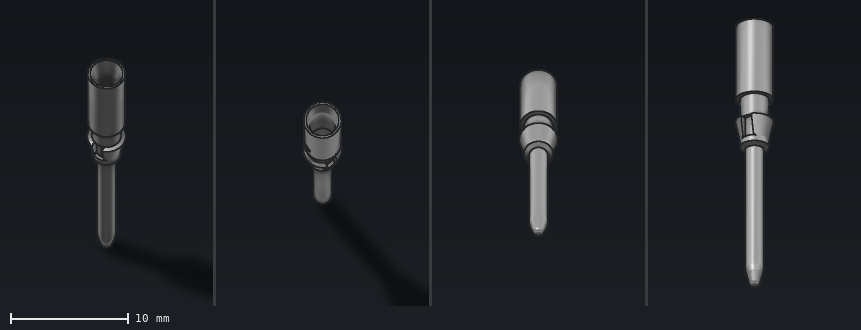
import math

import cadquery as cq


TOTAL_LENGTH = 25.0
BARREL_RADIUS = 1.6
BARREL_BOTTOM = 18.0

ENTRY_RADIUS = 1.4
BORE_RADIUS = 1.1
ENTRY_DEPTH = 1.5
BORE_DEPTH = 6.5
DRILL_POINT_ANGLE = 140.0

INSPECTION_RADIUS = 0.4
INSPECTION_DEPTH = 5.6

NECK_RADIUS = 1.25
FLARE_RADIUS = 1.65
FLARE_TOP = 16.0
FLARE_TOP_DROP = 0.12
FLARE_BOTTOM = 14.0
COLLAR_BOTTOM = 13.45
COLLAR_TAPER_HEIGHT = 0.25

SLOT_WIDTH = 1.0
SLOT_FOOT_SPLAY = 0.13
SLOT_FOOT_HEIGHT = 0.13
SLOT_CORE_RADIUS = 0.9

PIN_RADIUS = 0.8
TIP_RADIUS = 0.5
TIP_TAPER_ANGLE = 15.0
SHOULDER_RADIUS = 2.0


def arc_point(center_r, center_z, radius, degrees):
    """Point (r, z) on an arc, with the angle measured from the outward radial direction."""
    angle = math.radians(degrees)
    return (center_r + radius * math.cos(angle), center_z + radius * math.sin(angle))


def make_body():
    """Revolve the solid outline; the tip arc, taper and shoulder arc run tangent to each other."""
    tip_mid = arc_point(0, TIP_RADIUS, TIP_RADIUS, (-90 - TIP_TAPER_ANGLE) / 2)
    taper_start = arc_point(0, TIP_RADIUS, TIP_RADIUS, -TIP_TAPER_ANGLE)

    shoulder_center_r = PIN_RADIUS - SHOULDER_RADIUS
    taper_end_r = arc_point(shoulder_center_r, 0, SHOULDER_RADIUS, -TIP_TAPER_ANGLE)[0]
    taper_height = (taper_end_r - taper_start[0]) / math.tan(math.radians(TIP_TAPER_ANGLE))
    taper_end_z = taper_start[1] + taper_height
    shoulder_z = taper_end_z + SHOULDER_RADIUS * math.sin(math.radians(TIP_TAPER_ANGLE))
    shoulder_mid = arc_point(shoulder_center_r, shoulder_z, SHOULDER_RADIUS, -TIP_TAPER_ANGLE / 2)

    return (
        cq.Workplane("XZ")
        .moveTo(0, 0)
        .threePointArc(tip_mid, taper_start)
        .lineTo(taper_end_r, taper_end_z)
        .threePointArc(shoulder_mid, (PIN_RADIUS, shoulder_z))
        .lineTo(PIN_RADIUS, COLLAR_BOTTOM - COLLAR_TAPER_HEIGHT)
        .lineTo(NECK_RADIUS, COLLAR_BOTTOM)
        .lineTo(NECK_RADIUS, FLARE_BOTTOM)
        .lineTo(FLARE_RADIUS, FLARE_TOP - FLARE_TOP_DROP)
        .lineTo(NECK_RADIUS, FLARE_TOP)
        .lineTo(NECK_RADIUS, BARREL_BOTTOM)
        .lineTo(BARREL_RADIUS, BARREL_BOTTOM)
        .lineTo(BARREL_RADIUS, TOTAL_LENGTH)
        .lineTo(0, TOTAL_LENGTH)
        .close()
        .revolve(360, (0, 0, 0), (0, 1, 0))
    )


def make_wire_bore():
    """Tapered lead-in, cylindrical bore and conical floor as one revolved cutter."""
    floor_z = TOTAL_LENGTH - BORE_DEPTH
    apex_z = floor_z - BORE_RADIUS / math.tan(math.radians(DRILL_POINT_ANGLE / 2))
    return (
        cq.Workplane("XZ")
        .moveTo(0, apex_z)
        .lineTo(BORE_RADIUS, floor_z)
        .lineTo(BORE_RADIUS, TOTAL_LENGTH - ENTRY_DEPTH)
        .lineTo(ENTRY_RADIUS, TOTAL_LENGTH)
        .lineTo(0, TOTAL_LENGTH)
        .close()
        .revolve(360, (0, 0, 0), (0, 1, 0))
    )


def make_inspection_hole():
    """Radial cutter from the axis out through the -X wall."""
    return (
        cq.Workplane("YZ")
        .center(0, TOTAL_LENGTH - INSPECTION_DEPTH)
        .circle(INSPECTION_RADIUS)
        .extrude(-2 * BARREL_RADIUS)
    )


def make_ring_slot():
    """Slot on the -Y side that widens at its foot and leaves a round core standing."""
    half_width = SLOT_WIDTH / 2
    foot_half_width = half_width + SLOT_FOOT_SPLAY
    foot_top = FLARE_BOTTOM + SLOT_FOOT_HEIGHT
    slot = (
        cq.Workplane("XZ")
        .moveTo(-foot_half_width, FLARE_BOTTOM)
        .lineTo(foot_half_width, FLARE_BOTTOM)
        .lineTo(half_width, foot_top)
        .lineTo(half_width, FLARE_TOP)
        .lineTo(-half_width, FLARE_TOP)
        .lineTo(-half_width, foot_top)
        .close()
        .extrude(2 * FLARE_RADIUS)
    )
    core = (
        cq.Workplane("XY", origin=(0, 0, FLARE_BOTTOM))
        .circle(SLOT_CORE_RADIUS)
        .extrude(FLARE_TOP - FLARE_BOTTOM)
    )
    return slot.cut(core)


result = make_body().cut(make_wire_bore()).cut(make_inspection_hole()).cut(make_ring_slot())